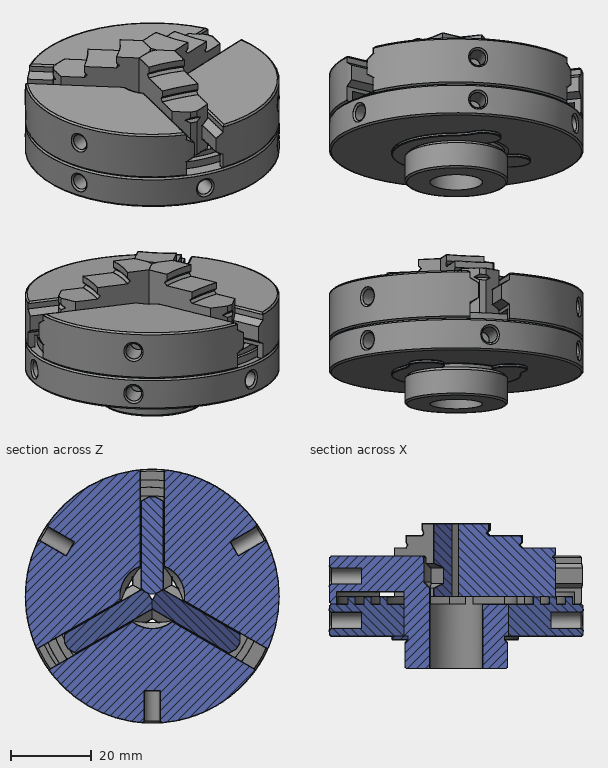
import cadquery as cq
import math


CHUCK_RADIUS = 31.5
EDGE_CHAMFER = 0.45
JAW_COUNT = 3
JAW_ANGLES = [90 + i * 360 / JAW_COUNT for i in range(JAW_COUNT)]

HUB_TOP = 7.2
RING_BOTTOM = 8.0
RING_TOP = 16.0
THREAD_HEIGHT = 1.9
THREAD_TOP = RING_TOP + THREAD_HEIGHT
CAVITY_TOP = THREAD_TOP + 1.15
BODY_TOP = 28.0
JAW_TOP = 36.0

HUB_RADIUS = 25.5 / 2
NECK_RADIUS = 24.0 / 2
JOURNAL_RADIUS = 26.0 / 2
CAVITY_RADIUS = 29.75
HUB_BORE_RADIUS = 13.05 / 2
FACE_BORE_RADIUS = 16.0 / 2
FACE_BORE_DEPTH = 8.0

SLOT_HALF_WIDTH = 5.05
TONGUE_DEPTH = 2.1
TONGUE_BOTTOM = 20.0
TONGUE_TOP = 26.15
TONGUE_SLOPE_HEIGHT = 1.2

KEY_HOLE_RADIUS = 4.0 / 2
KEY_HOLE_CHAMFER = 0.5
KEY_HOLE_DEPTH = 8.0
BODY_KEY_HOLE_Z = 23.0
RING_KEY_HOLE_Z = (RING_BOTTOM + RING_TOP) / 2
BODY_KEY_HOLE_COUNT = 3
RING_KEY_HOLE_COUNT = 6
FIRST_KEY_HOLE_ANGLE = 30

THREAD_OUTER_RADIUS = 29.35
THREAD_PITCH = 4.0
THREAD_WIDTH = 1.8
THREAD_RADIUS_AT_Y = 28.85
THREAD_TURNS_INWARD = 3
THREAD_POINTS_PER_TURN = 24

SNAP_RADIUS = 16.05
SNAP_CHAMFER = 0.2
LUG_RADIUS = 4.4
LUG_DISTANCE = 15.4
LUG_ANGLES = (46, 134)
LUG_FILLET = 8.8

JAW_CLEARANCE = 0.2
JAW_HALF_WIDTH = SLOT_HALF_WIDTH - JAW_CLEARANCE
JAW_INNER_END = 0.5
JAW_OUTER_END = 24.65
JAW_NOSE_HALF_WIDTH = 0.9
JAW_STEP_HEIGHT = 2.99
JAW_STEPS = ((8.05, 28.35), (16.25, 50.4))
GROOVE_HEIGHT = 1.4
GROOVE_DEPTH = 0.7
GROOVE_OVERLAP = 0.6


def key_hole(angle, z):
    """Cutter for a radial blind hole with a chamfered mouth, pointing at the given angle."""
    mouth_radius = KEY_HOLE_RADIUS + KEY_HOLE_CHAMFER
    profile = [
        (CHUCK_RADIUS - KEY_HOLE_DEPTH, 0),
        (CHUCK_RADIUS - KEY_HOLE_DEPTH, KEY_HOLE_RADIUS),
        (CHUCK_RADIUS - KEY_HOLE_CHAMFER, KEY_HOLE_RADIUS),
        (CHUCK_RADIUS, mouth_radius),
        (CHUCK_RADIUS + mouth_radius, mouth_radius),
        (CHUCK_RADIUS + mouth_radius, 0),
    ]
    hole = cq.Workplane("XY").polyline(profile).close().revolve(360, (0, 0, 0), (1, 0, 0))
    return hole.rotate((0, 0, 0), (0, 0, 1), angle).translate((0, 0, z))


def cut_key_holes(solid, count, z):
    for i in range(count):
        solid = solid.cut(key_hole(FIRST_KEY_HOLE_ANGLE + i * 360 / count, z))
    return solid


def guide_profile(half_width, bottom, top):
    """Half section of a slot or jaw, narrowed where the wall tongue stands."""
    neck = half_width - TONGUE_DEPTH
    return [
        (0, bottom),
        (half_width, bottom),
        (half_width, TONGUE_BOTTOM),
        (neck, TONGUE_BOTTOM + TONGUE_SLOPE_HEIGHT),
        (neck, TONGUE_TOP - TONGUE_SLOPE_HEIGHT),
        (half_width, TONGUE_TOP),
        (half_width, top),
        (0, top),
    ]


def guide_bar(right_half, length):
    """Symmetric bar with the given half section, running from the axis along +Y."""
    left_half = [(-x, z) for x, z in reversed(right_half[1:-1])]
    section = right_half[1:-1] + left_half
    return cq.Workplane("XZ").polyline(section).close().extrude(-length)


def jaw_slot(angle):
    """Cutter for one slot, open at the rim and chamfered along its top edges."""
    profile = guide_profile(SLOT_HALF_WIDTH, RING_TOP, BODY_TOP)
    chamfered_top = [
        (SLOT_HALF_WIDTH, BODY_TOP - EDGE_CHAMFER),
        (SLOT_HALF_WIDTH + EDGE_CHAMFER, BODY_TOP),
    ]
    profile[-2:-1] = chamfered_top
    return guide_bar(profile, CHUCK_RADIUS).rotate((0, 0, 0), (0, 0, 1), angle - 90)


def make_body():
    """Chuck body: slotted head over the scroll cavity, with a journal, groove and hub below."""
    neck_step = HUB_RADIUS - NECK_RADIUS
    bore_step = FACE_BORE_RADIUS - HUB_BORE_RADIUS
    profile = [
        (HUB_BORE_RADIUS, 0),
        (HUB_RADIUS - EDGE_CHAMFER, 0),
        (HUB_RADIUS, EDGE_CHAMFER),
        (HUB_RADIUS, HUB_TOP - neck_step),
        (NECK_RADIUS, HUB_TOP),
        (NECK_RADIUS, RING_BOTTOM),
        (JOURNAL_RADIUS, RING_BOTTOM),
        (JOURNAL_RADIUS, CAVITY_TOP),
        (CAVITY_RADIUS, CAVITY_TOP),
        (CAVITY_RADIUS, RING_TOP),
        (CHUCK_RADIUS - EDGE_CHAMFER, RING_TOP),
        (CHUCK_RADIUS, RING_TOP + EDGE_CHAMFER),
        (CHUCK_RADIUS, BODY_TOP - EDGE_CHAMFER),
        (CHUCK_RADIUS - EDGE_CHAMFER, BODY_TOP),
        (FACE_BORE_RADIUS + EDGE_CHAMFER, BODY_TOP),
        (FACE_BORE_RADIUS, BODY_TOP - EDGE_CHAMFER),
        (FACE_BORE_RADIUS, BODY_TOP - FACE_BORE_DEPTH + bore_step),
        (HUB_BORE_RADIUS, BODY_TOP - FACE_BORE_DEPTH),
    ]
    body = cq.Workplane("XZ").polyline(profile).close().revolve(360, (0, 0, 0), (0, 1, 0))
    for angle in JAW_ANGLES:
        body = body.cut(jaw_slot(angle))
    return cut_key_holes(body, BODY_KEY_HOLE_COUNT, BODY_KEY_HOLE_Z)


def spiral_point(turn, radius_at_y):
    """Point on an Archimedean spiral that crosses the +Y axis at the given radius at turn zero."""
    radius = radius_at_y + THREAD_PITCH * turn
    angle = math.pi / 2 + 2 * math.pi * turn
    return cq.Vector(radius * math.cos(angle), radius * math.sin(angle), RING_TOP)


def spiral_thread():
    """Spiral rib on top of the scroll ring that runs out flush with the thread's outer radius."""
    flank_outer = THREAD_RADIUS_AT_Y
    flank_inner = THREAD_RADIUS_AT_Y - THREAD_WIDTH
    first_turn = -THREAD_TURNS_INWARD

    def runout_turn(radius_at_y):
        return (THREAD_OUTER_RADIUS - radius_at_y) / THREAD_PITCH

    def flank(radius_at_y):
        span = runout_turn(radius_at_y) - first_turn
        steps = round(span * THREAD_POINTS_PER_TURN)
        return cq.Edge.makeSpline(
            [spiral_point(first_turn + span * i / steps, radius_at_y) for i in range(steps + 1)]
        )

    outer = flank(flank_outer)
    inner = flank(flank_inner)
    rim_angle = math.pi / 2 + math.pi * (runout_turn(flank_outer) + runout_turn(flank_inner))
    rim_middle = cq.Vector(
        THREAD_OUTER_RADIUS * math.cos(rim_angle), THREAD_OUTER_RADIUS * math.sin(rim_angle), RING_TOP
    )
    rim = cq.Edge.makeThreePointArc(outer.endPoint(), rim_middle, inner.endPoint())
    inner_end = cq.Edge.makeLine(inner.startPoint(), outer.startPoint())
    outline = cq.Wire.assembleEdges([outer, rim, inner, inner_end])
    return cq.Workplane(cq.Solid.extrudeLinear(outline, [], cq.Vector(0, 0, THREAD_HEIGHT)))


def make_scroll_ring():
    """Turned ring around the journal, carrying the spiral thread that drives the jaws."""
    thickness = RING_TOP - RING_BOTTOM
    plane = cq.Workplane("XY", origin=(0, 0, RING_BOTTOM))
    ring = plane.circle(CHUCK_RADIUS).extrude(thickness).edges("%CIRCLE").chamfer(EDGE_CHAMFER)
    ring = ring.cut(plane.circle(JOURNAL_RADIUS).extrude(thickness))
    ring = ring.union(spiral_thread())
    return cut_key_holes(ring, RING_KEY_HOLE_COUNT, RING_KEY_HOLE_Z)


def make_snap_ring():
    """Split ring in the hub groove, open toward +Y, with a round lug blended into each end."""
    thickness = RING_BOTTOM - HUB_TOP
    plane = cq.Workplane("XY", origin=(0, 0, HUB_TOP))
    lug_centers = [
        (LUG_DISTANCE * math.cos(math.radians(angle)), LUG_DISTANCE * math.sin(math.radians(angle)))
        for angle in LUG_ANGLES
    ]
    gap_corners = [(2 * x, 2 * y) for x, y in lug_centers]
    gap = plane.polyline([(0, 0), *gap_corners]).close().extrude(thickness)
    lugs = plane.pushPoints(lug_centers).circle(LUG_RADIUS).extrude(thickness)
    ring = plane.circle(SNAP_RADIUS).extrude(thickness).cut(gap).union(lugs)
    ring = ring.edges("|Z").edges("<X or >X").fillet(LUG_FILLET)
    ring = ring.faces("<Z or >Z").edges().chamfer(SNAP_CHAMFER)
    return ring.cut(plane.circle(NECK_RADIUS).extrude(thickness))


def jaw_outline():
    """Prism bounding a jaw from above, with both ends pointed at 120 degrees and blunted."""
    outer_corner = JAW_OUTER_END - (JAW_HALF_WIDTH - JAW_NOSE_HALF_WIDTH) * math.tan(math.radians(30))
    inner_nose = JAW_INNER_END / math.tan(math.radians(30))
    inner_corner = JAW_HALF_WIDTH * math.tan(math.radians(30))
    half = [
        (inner_nose, JAW_INNER_END),
        (JAW_HALF_WIDTH, inner_corner),
        (JAW_HALF_WIDTH, outer_corner),
        (JAW_NOSE_HALF_WIDTH, JAW_OUTER_END),
    ]
    outline = half + [(-x, y) for x, y in reversed(half)]
    return cq.Workplane("XY").polyline(outline).close().extrude(JAW_TOP)


def step_cutter(step_z, distance, face_radius):
    """Cylinder about an outlying vertical axis that forms one concave step face and its groove."""
    axis_y = distance + face_radius
    profile = [
        (0, step_z),
        (face_radius, step_z),
        (face_radius + GROOVE_DEPTH, step_z + GROOVE_HEIGHT / 2),
        (face_radius, step_z + GROOVE_HEIGHT),
        (face_radius, JAW_TOP),
        (0, JAW_TOP),
    ]
    cutter = cq.Workplane("XZ").polyline(profile).close().revolve(360, (0, 0, 0), (0, 1, 0))
    return cutter.translate((0, axis_y, 0))


def nose_groove(step_z):
    """Cutter for the straight V groove across the outer nose, at the foot of the last tread."""
    profile = [
        (JAW_OUTER_END + GROOVE_OVERLAP, step_z),
        (JAW_OUTER_END, step_z),
        (JAW_OUTER_END - GROOVE_DEPTH, step_z + GROOVE_HEIGHT / 2),
        (JAW_OUTER_END, step_z + GROOVE_HEIGHT),
        (JAW_OUTER_END + GROOVE_OVERLAP, step_z + GROOVE_HEIGHT),
    ]
    return cq.Workplane("YZ").polyline(profile).close().extrude(JAW_HALF_WIDTH, both=True)


def make_jaw(angle):
    """Stepped jaw that rests on the spiral thread and slides on the slot tongues."""
    bar = guide_bar(guide_profile(JAW_HALF_WIDTH, THREAD_TOP, JAW_TOP), JAW_OUTER_END)
    jaw = bar.intersect(jaw_outline())
    step_z = JAW_TOP
    for distance, face_radius in JAW_STEPS:
        step_z -= JAW_STEP_HEIGHT
        jaw = jaw.cut(step_cutter(step_z, distance, face_radius))
    jaw = jaw.cut(nose_groove(step_z - JAW_STEP_HEIGHT))
    return jaw.rotate((0, 0, 0), (0, 0, 1), angle - 90)


body = make_body()
scroll_ring = make_scroll_ring()
snap_ring = make_snap_ring()
jaws = [make_jaw(angle) for angle in JAW_ANGLES]

result = cq.Compound.makeCompound(
    [
        body.solids().val(),
        scroll_ring.solids().val(),
        snap_ring.solids().val(),
        *[jaw.solids().val() for jaw in jaws],
    ]
)